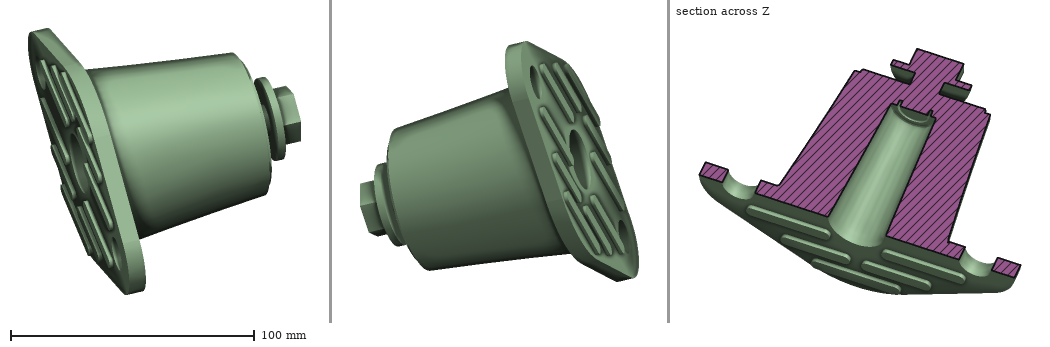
import cadquery as cq
import math


flange_length = 139.6
flange_thickness = 7.1
waist_radius = 42.9
ear_radius = 17.5
ear_offset = flange_length / 2 - ear_radius
mounting_hole_radius = 7.1

rib_width = 5.2
rib_height = 1.7
outer_rib_length = 39.5
middle_rib_length = 30.5
inner_rib_length = 36.8
middle_rib_x = 17.9
inner_rib_x = 29.9
outer_rib_z = 34.3
middle_rib_z = 24.3
inner_rib_z = 11.6

body_height = 65.7
body_base_radius = 37.4
body_top_radius = 30.1
flank_hollow = 0.3
root_chamfer = 0.7

cap_radius = 27.6
cap_height = 1.8
cap_chamfer_width = 0.5
cap_chamfer_height = 1.0

shank_radius = 6.5
shank_gap = 6.0
washer_radius = 17.5
washer_thickness = 3.1
head_width = 20.8
head_height = 8.8

bore_mouth_radius = 12.7
bore_end_radius = 9.9
bore_depth = 62.8
bore_end_chamfer = 0.4
gap_radius = 7.3
bolt_tip_radius = 6.1
gap_depth = 2.8

body_top = flange_thickness + body_height
cap_top = body_top + cap_height
washer_base = cap_top + shank_gap
head_base = washer_base + washer_thickness


def plane_at(y):
    """Sketch plane square to the mount axis, with its normal along +Y and local y along -Z."""
    return cq.Workplane(cq.Plane(origin=(0, y, 0), xDir=(1, 0, 0), normal=(0, 1, 0)))


def disc(radius, base, height):
    return plane_at(base).circle(radius).extrude(height)


def revolve_about_y(profile):
    return profile.close().revolve(360, (0, 0, 0), (0, 1, 0))


def make_flange():
    normal_cos = (waist_radius - ear_radius) / ear_offset
    normal_sin = math.sqrt(1 - normal_cos**2)
    waist_x = waist_radius * normal_cos
    waist_z = waist_radius * normal_sin
    ear_x = ear_offset + ear_radius * normal_cos
    ear_z = ear_radius * normal_sin
    return (
        plane_at(0)
        .moveTo(-waist_x, waist_z)
        .threePointArc((0, waist_radius), (waist_x, waist_z))
        .lineTo(ear_x, ear_z)
        .threePointArc((flange_length / 2, 0), (ear_x, -ear_z))
        .lineTo(waist_x, -waist_z)
        .threePointArc((0, -waist_radius), (-waist_x, -waist_z))
        .lineTo(-ear_x, -ear_z)
        .threePointArc((-flange_length / 2, 0), (-ear_x, ear_z))
        .close()
        .extrude(flange_thickness)
        .pushPoints([(-ear_offset, 0), (ear_offset, 0)])
        .circle(mounting_hole_radius)
        .cutThruAll()
    )


def make_ribs(length, x_offset, z_offset):
    """Ribs mirrored about both the X and Z axes."""
    x_places = {-x_offset, x_offset}
    centers = [(x, z) for x in x_places for z in (-z_offset, z_offset)]
    return plane_at(0).pushPoints(centers).slot2D(length, rib_width).extrude(-rib_height)


def make_body():
    flank_middle = (
        (body_base_radius + body_top_radius) / 2 - flank_hollow,
        flange_thickness + body_height / 2,
    )
    return revolve_about_y(
        cq.Workplane("ZY")
        .moveTo(0, flange_thickness)
        .lineTo(body_base_radius + root_chamfer, flange_thickness)
        .lineTo(body_base_radius, flange_thickness + root_chamfer)
        .threePointArc(flank_middle, (body_top_radius, body_top))
        .lineTo(0, body_top)
    )


def make_cap():
    return revolve_about_y(
        cq.Workplane("ZY")
        .moveTo(0, body_top)
        .lineTo(cap_radius, body_top)
        .lineTo(cap_radius, cap_top - cap_chamfer_height)
        .lineTo(cap_radius - cap_chamfer_width, cap_top)
        .lineTo(0, cap_top)
    )


def make_bolt():
    shank = disc(shank_radius, cap_top, shank_gap)
    washer = disc(washer_radius, washer_base, washer_thickness)
    corner_to_corner = head_width / math.cos(math.pi / 6)
    head = (
        plane_at(head_base)
        .transformed(rotate=(0, 0, 90))
        .polygon(6, corner_to_corner)
        .extrude(head_height)
    )
    return shank.union(washer).union(head)


def make_bore():
    bore = revolve_about_y(
        cq.Workplane("ZY")
        .lineTo(bore_mouth_radius, 0)
        .lineTo(bore_end_radius, bore_depth - bore_end_chamfer)
        .lineTo(bore_end_radius - bore_end_chamfer, bore_depth)
        .lineTo(0, bore_depth)
    )
    gap = plane_at(bore_depth).circle(gap_radius).circle(bolt_tip_radius).extrude(gap_depth)
    return bore.union(gap)


result = (
    make_flange()
    .union(make_body())
    .union(make_cap())
    .union(make_bolt())
    .union(make_ribs(outer_rib_length, 0, outer_rib_z))
    .union(make_ribs(middle_rib_length, middle_rib_x, middle_rib_z))
    .union(make_ribs(inner_rib_length, inner_rib_x, inner_rib_z))
    .cut(make_bore())
)